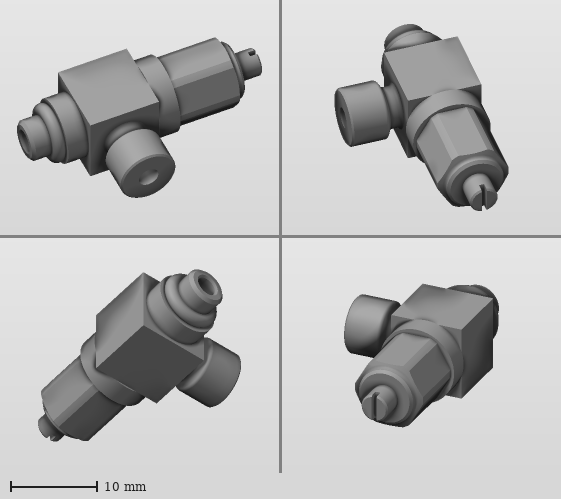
import cadquery as cq
import math

OVERALL_LENGTH = 29.7

CUBE_FRONT = 6.35
COLLAR_FRONT = 15.15
HEX_FRONT = 17.8
HEX_CORNER_END = 25.55
CAP_END = 26.73

SPIGOT_RADIUS = 2.5
SPIGOT_CHAMFER = 0.4
RING_FRONT = 2.38
RING_SECTION_RADIUS = 0.8
RING_RADIUS = 3.65
SHOULDER_FRONT = 3.8
SHOULDER_RADIUS = 4.0

CUBE_WIDTH = 9.0
COLLAR_RADIUS = 4.75

HEX_ACROSS_FLATS = 8.0
HEX_CORNER_RADIUS = 4.37
HEX_CONE_ANGLE = math.radians(25)
CAP_RADIUS = 3.47
CAP_CHAMFER = 0.33
CAP_FILLET = 0.42

STEM_RADIUS = 1.7
STEM_CHAMFER = 0.2
SLOT_WIDTH = 0.62
SLOT_DEPTH = 1.0

PORT_Y = 10.85
PORT_END = 11.0
NECK_RADIUS = 2.5
NECK_START = 4.95
NECK_END = 5.67
NECK_ROOT_FILLET = 0.5
BARREL_RADIUS = 3.5
BARREL_CHAMFER = 0.2
BARREL_FILLET = 0.42
BARREL_CONE_ANGLE = math.radians(60)

BORE_RADIUS = 1.25
BORE_CHAMFER = 0.25


def turned(profile):
    """Turn a profile drawn as (radius, y) about the Y axis."""
    return profile.close().revolve(360, (0, 0, 0), (0, 1, 0))


def disc(radius, start, end):
    """Cylinder on the Y axis between two stations."""
    return cq.Workplane("XZ", origin=(0, start, 0)).circle(radius).extrude(start - end)


def arc_point(center, radius, angle):
    """Point on an arc, with the angle in radians."""
    return center[0] + radius * math.cos(angle), center[1] + radius * math.sin(angle)


def make_spigot():
    """Chamfered spigot running back into the shoulder."""
    spigot = disc(SPIGOT_RADIUS, 0, CUBE_FRONT).faces("<Y").chamfer(SPIGOT_CHAMFER)
    return spigot.union(disc(SHOULDER_RADIUS, SHOULDER_FRONT, CUBE_FRONT))


def make_ring():
    """Sealing ring with a round rim, its back edge sunk into the shoulder."""
    ring_back = RING_FRONT + 2 * RING_SECTION_RADIUS
    rim_start = RING_RADIUS - RING_SECTION_RADIUS
    return turned(
        cq.Workplane("XY")
        .moveTo(0, RING_FRONT)
        .lineTo(rim_start, RING_FRONT)
        .threePointArc((RING_RADIUS, RING_FRONT + RING_SECTION_RADIUS), (rim_start, ring_back))
        .lineTo(0, ring_back)
    )


def make_body():
    """Square body with the round collar behind it."""
    length = COLLAR_FRONT - CUBE_FRONT
    cube = cq.Workplane("XY").box(CUBE_WIDTH, length, CUBE_WIDTH)
    cube = cube.translate((0, CUBE_FRONT + length / 2, 0))
    return cube.union(disc(COLLAR_RADIUS, COLLAR_FRONT, HEX_FRONT))


def make_hex_and_cap():
    """Hexagon with turned corners, trimmed by a cone that blends into the cap."""
    cone_meets_cap = HEX_CORNER_END + (HEX_CORNER_RADIUS - CAP_RADIUS) * math.tan(HEX_CONE_ANGLE)
    fillet_rise = CAP_FILLET * math.tan((math.pi / 2 - HEX_CONE_ANGLE) / 2)
    center = (CAP_RADIUS + CAP_FILLET, cone_meets_cap + fillet_rise)
    cone_normal = 3 * math.pi / 2 - HEX_CONE_ANGLE
    envelope = turned(
        cq.Workplane("XY")
        .moveTo(0, HEX_FRONT)
        .lineTo(HEX_CORNER_RADIUS, HEX_FRONT)
        .lineTo(HEX_CORNER_RADIUS, HEX_CORNER_END)
        .lineTo(*arc_point(center, CAP_FILLET, cone_normal))
        .threePointArc(
            arc_point(center, CAP_FILLET, (cone_normal + math.pi) / 2),
            arc_point(center, CAP_FILLET, math.pi),
        )
        .lineTo(CAP_RADIUS, CAP_END - CAP_CHAMFER)
        .lineTo(CAP_RADIUS - CAP_CHAMFER, CAP_END)
        .lineTo(0, CAP_END)
    )
    hexagon = (
        cq.Workplane("XZ", origin=(0, HEX_FRONT, 0))
        .polygon(6, HEX_ACROSS_FLATS / math.cos(math.pi / 6))
        .extrude(HEX_FRONT - CAP_END)
    )
    return envelope.intersect(hexagon)


def make_stem():
    """Chamfered stem with a screwdriver slot along Z."""
    stem = disc(STEM_RADIUS, CAP_END, OVERALL_LENGTH).faces(">Y").chamfer(STEM_CHAMFER)
    slot = cq.Workplane("XY").box(SLOT_WIDTH, 2 * SLOT_DEPTH, 2 * STEM_RADIUS)
    return stem.cut(slot.translate((0, OVERALL_LENGTH, 0)))


def make_port():
    """Side port: flared neck, then a conical shoulder up to the barrel."""
    root_center = (NECK_START, NECK_RADIUS + NECK_ROOT_FILLET)
    root_start = NECK_START - NECK_ROOT_FILLET
    inner_center = (NECK_END, NECK_RADIUS + BARREL_FILLET)
    arc_rise = BARREL_FILLET * (1 - math.cos(BARREL_CONE_ANGLE))
    arc_run = BARREL_FILLET * math.sin(BARREL_CONE_ANGLE)
    cone_rise = BARREL_RADIUS - NECK_RADIUS - 2 * arc_rise
    barrel_start = NECK_END + 2 * arc_run + cone_rise / math.tan(BARREL_CONE_ANGLE)
    outer_center = (barrel_start, BARREL_RADIUS - BARREL_FILLET)
    inner_end = BARREL_CONE_ANGLE - math.pi / 2
    outer_start = BARREL_CONE_ANGLE + math.pi / 2
    profile = (
        cq.Workplane("XY")
        .lineTo(root_start, 0)
        .lineTo(root_start, root_center[1])
        .threePointArc(
            arc_point(root_center, NECK_ROOT_FILLET, 5 * math.pi / 4),
            (NECK_START, NECK_RADIUS),
        )
        .lineTo(NECK_END, NECK_RADIUS)
        .threePointArc(
            arc_point(inner_center, BARREL_FILLET, (inner_end - math.pi / 2) / 2),
            arc_point(inner_center, BARREL_FILLET, inner_end),
        )
        .lineTo(*arc_point(outer_center, BARREL_FILLET, outer_start))
        .threePointArc(
            arc_point(outer_center, BARREL_FILLET, (outer_start + math.pi / 2) / 2),
            (barrel_start, BARREL_RADIUS),
        )
        .lineTo(PORT_END - BARREL_CHAMFER, BARREL_RADIUS)
        .lineTo(PORT_END, BARREL_RADIUS - BARREL_CHAMFER)
        .lineTo(PORT_END, 0)
        .close()
    )
    return profile.revolve(360, (0, 0, 0), (1, 0, 0)).translate((0, PORT_Y, 0))


def make_passage():
    """Elbow passage from the spigot tip to the port face, with a ball-shaped corner."""
    inlet = turned(
        cq.Workplane("XY")
        .lineTo(BORE_RADIUS + BORE_CHAMFER, 0)
        .lineTo(BORE_RADIUS, BORE_CHAMFER)
        .lineTo(BORE_RADIUS, PORT_Y)
        .lineTo(0, PORT_Y)
    )
    outlet = cq.Workplane("YZ", origin=(0, PORT_Y, 0)).circle(BORE_RADIUS).extrude(PORT_END)
    corner = cq.Workplane("XY", origin=(0, PORT_Y, 0)).sphere(BORE_RADIUS)
    return inlet.union(outlet).union(corner)


result = (
    make_spigot()
    .union(make_ring())
    .union(make_body())
    .union(make_hex_and_cap())
    .union(make_stem())
    .union(make_port())
    .cut(make_passage())
)